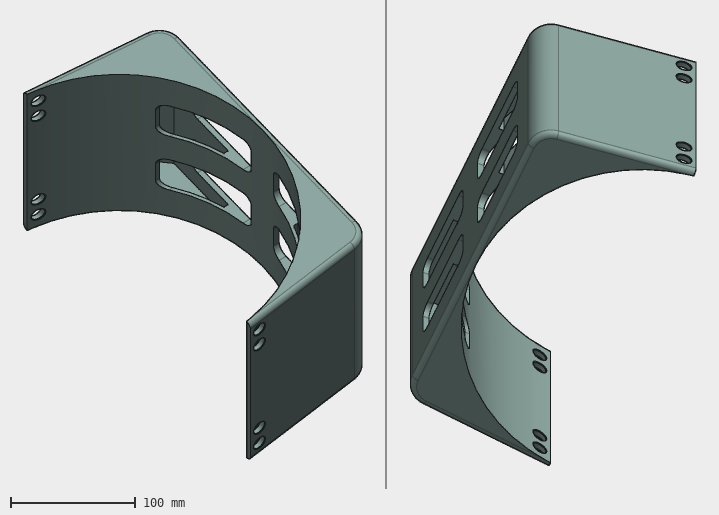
import cadquery as cq
import math

width = 298.0
depth = 132.5
height = 180.0
wall = 5.0

side_lean = math.radians(6.2)
corner_radius = 20.0
rim_radius = wall

saddle_radius = 145.0
saddle_center_y = depth - wall - saddle_radius
saddle_wall = 3.0

cavity_height = 150.0
cavity_inner_x = 46.0
cavity_bevel = 15.0

window_width = 80.5
window_height = 40.0
window_corner_radius = 9.0
window_pitch_x = 109.5
window_pitch_z = 71.0

hole_diameter = 12.0
hole_chamfer = 0.5
hole_from_tip = 10.0
hole_end_offset = 15.0
hole_pitch = 20.0


def side_x(y, inset=0.0):
    """X of the leaning right side at a given Y, moved inward by inset."""
    return width / 2 - inset / math.cos(side_lean) - y * math.tan(side_lean)


def prism(outline, prism_height):
    """Extrude an XY outline equally above and below Z = 0."""
    return cq.Workplane("XY").polyline(outline).close().extrude(prism_height / 2, both=True)


def saddle_cylinder(radius):
    return cq.Workplane("XY").center(0, saddle_center_y).circle(radius).extrude(height / 2, both=True)


def make_body():
    """Tapered block with rounded back corners and rims, hollowed by the saddle face."""
    front_x = side_x(0)
    back_x = side_x(depth)
    outline = [(-front_x, 0), (front_x, 0), (back_x, depth), (-back_x, depth)]
    block = prism(outline, height).edges("|Z and >Y").fillet(corner_radius)
    block = block.faces("|Z").edges("not <Y").fillet(rim_radius)
    return block.cut(saddle_cylinder(saddle_radius))


def make_right_cavity():
    """Closed hollow behind the right half of the saddle, bevelled at its outer back corner."""
    back_y = depth - wall
    bevel_y = back_y - cavity_bevel
    bevel_x = side_x(bevel_y, wall)
    outline = [
        (cavity_inner_x, 0),
        (side_x(0, wall), 0),
        (bevel_x, bevel_y),
        (bevel_x - cavity_bevel, back_y),
        (cavity_inner_x, back_y),
    ]
    return prism(outline, cavity_height).cut(saddle_cylinder(saddle_radius + saddle_wall))


def make_windows():
    """Rounded rectangular openings in a two by two pattern, along Y."""
    return (
        cq.Workplane("XZ")
        .rarray(window_pitch_x, window_pitch_z, 2, 2)
        .rect(window_width, window_height)
        .extrude(-depth)
        .edges("|Y")
        .fillet(window_corner_radius)
    )


def make_holes():
    """Pairs of round holes near the top and bottom of both side tips, along X."""
    outer_z = height / 2 - hole_end_offset
    inner_z = outer_z - hole_pitch
    centers = [(hole_from_tip, z) for z in (outer_z, inner_z, -inner_z, -outer_z)]
    return (
        cq.Workplane("YZ")
        .pushPoints(centers)
        .circle(hole_diameter / 2)
        .extrude(width / 2, both=True)
    )


def chamfer_holes(part):
    """Break both rims of every mounting hole."""
    y_margin = hole_diameter / 4
    z_limit = height / 2 - rim_radius
    hole_zone = cq.selectors.BoxSelector(
        (-width, hole_from_tip - y_margin, -z_limit),
        (width, hole_from_tip + y_margin, z_limit),
    )
    return part.edges(hole_zone).edges("not %LINE").chamfer(hole_chamfer)


right_cavity = make_right_cavity()
left_cavity = right_cavity.mirror("YZ")
body = make_body().cut(right_cavity).cut(left_cavity).cut(make_windows())
result = chamfer_holes(body.cut(make_holes()))